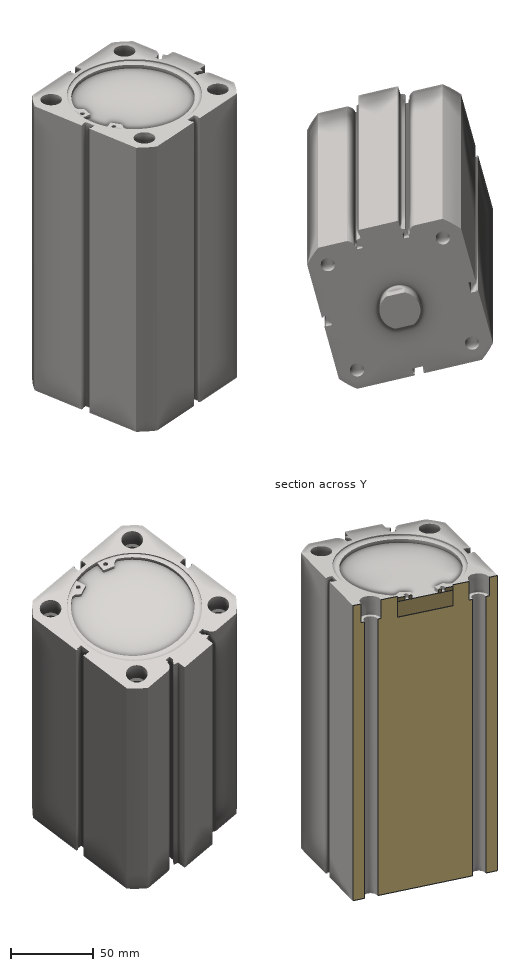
import cadquery as cq


housing_width = 96.5
rod_reach = 10.0
total_length = 212.0
housing_height = total_length - rod_reach
half_width = housing_width / 2
back_face = 48.3
corner_radius = 62.1
bolt_spacing = 72.0
bolt_hole_diameter = 8.7
bolt_counterbore_diameter = 13.1
bolt_counterbore_depth = 12.7

slot_mouth_width = 6.1
slot_lip_width = 5.0
slot_width = 6.8
slot_depth = 4.7
slot_lip = 1.0

rail_width = 25.0
total_depth = 102.0
rail_edge_chamfer = 0.5
rail_half = rail_width / 2
rail_top = total_depth - half_width
rail_height = rail_top - back_face
barb_half = 15.3
barb_slope = 0.8
barb_edge = 0.5
neck_half = 13.0
neck_top = 44.3
groove_floor = 41.5
groove_outer_half = 16.3
groove_rim = 43.5
shoulder_end_half = 17.0
shoulder_start_half = 21.0
shoulder_radius = 5.5

recess_diameter = 82.0
recess_radius = recess_diameter / 2
ring_inset = 1.0
ring_thickness = 2.5
ring_inner_radius = 37.5
ring_inner_offset = 1.5
ear_gap_half = 9.5
ear_inner_corner = (7.8, -33.3)
ear_peak = (14.6, -30.7)
ear_shoulder = (17.8, -33.3)
ear_outer_x = 21.5
ear_hole_x = 12.0
ear_hole_y = -35.6
ear_hole_diameter = 3.0
cap_thickness = 10.5
ring_top = housing_height - ring_inset
cap_top = ring_top - ring_thickness
cap_bottom = cap_top - cap_thickness

rod_diameter = 25.0
flat_distance = 22.0
flat_top = -2.8
rod_end_diameter = 24.8
rod_end_top = -2.0
step_height = 0.6
rod_radius = rod_diameter / 2
flat_depth = rod_radius - flat_distance / 2


def cylinder(radius, bottom, top):
    """Solid cylinder on the Z axis between two heights."""
    return cq.Workplane("XY").workplane(offset=bottom).circle(radius).extrude(top - bottom)


def make_slot_cutter(angle):
    """T-shaped slot with a tapered mouth along the full height, turned from the +X side by angle."""
    lip_inside = half_width - slot_lip
    floor = half_width - slot_depth
    upper_half = [
        (half_width, slot_mouth_width / 2),
        (lip_inside, slot_lip_width / 2),
        (lip_inside, slot_width / 2),
        (floor, slot_width / 2),
    ]
    lower_half = [(x, -y) for x, y in reversed(upper_half)]
    cutter = cq.Workplane("XY").polyline(upper_half + lower_half).close().extrude(housing_height)
    return cutter.rotate((0, 0, 0), (0, 0, 1), angle)


def make_rail():
    """Rail standing above the +Y side, left between the two barbed grooves."""
    return (
        cq.Workplane("XY")
        .center(0, back_face + rail_height / 2)
        .rect(rail_width, rail_height)
        .extrude(housing_height)
        .faces(">Y")
        .edges("|Z")
        .chamfer(rail_edge_chamfer)
    )


def make_rail_groove():
    """Groove on the +X side of the rail, with the barb of the rail left standing."""
    return (
        cq.Workplane("XY")
        .moveTo(rail_half, back_face)
        .lineTo(barb_half, back_face - barb_slope)
        .lineTo(barb_half, back_face - barb_slope - barb_edge)
        .lineTo(neck_half, neck_top)
        .lineTo(neck_half, groove_floor)
        .lineTo(groove_outer_half, groove_floor)
        .lineTo(groove_outer_half, groove_rim)
        .lineTo(shoulder_end_half, groove_rim)
        .radiusArc((shoulder_start_half, back_face), shoulder_radius)
        .close()
        .extrude(housing_height)
    )


def make_housing():
    """Extruded profile with bolt holes, top recess and rod bore."""
    body = (
        cq.Workplane("XY")
        .center(0, (back_face - half_width) / 2)
        .rect(housing_width, back_face + half_width)
        .extrude(housing_height)
    )
    body = body.intersect(cylinder(corner_radius, 0, housing_height))
    body = body.union(make_rail())
    for angle in (0, 180, 270):
        body = body.cut(make_slot_cutter(angle))
    groove = make_rail_groove()
    body = body.cut(groove).cut(groove.mirror("YZ"))
    body = (
        body.faces(">Z")
        .workplane(origin=(0, 0, housing_height))
        .rect(bolt_spacing, bolt_spacing, forConstruction=True)
        .vertices()
        .cboreHole(bolt_hole_diameter, bolt_counterbore_diameter, bolt_counterbore_depth)
    )
    body = body.cut(cylinder(recess_radius, cap_bottom, housing_height))
    return body.cut(cylinder(rod_radius, 0, cap_bottom))


def make_cap():
    """Plain disc closing the recess below the retaining ring."""
    return cylinder(recess_radius, cap_bottom, cap_top)


def make_ear():
    """Block of the ring's ear on the +X side, reaching past the ring's rim."""
    outline = [
        (ear_gap_half, -recess_radius),
        ear_inner_corner,
        ear_peak,
        ear_shoulder,
        (ear_outer_x, ear_shoulder[1]),
        (ear_outer_x, -recess_radius),
    ]
    return (
        cq.Workplane("XY")
        .workplane(offset=cap_top)
        .polyline(outline)
        .close()
        .extrude(ring_thickness)
    )


def make_retaining_ring():
    """Eccentric ring, open between two ears that each have a plier hole."""
    rim = cylinder(recess_radius, cap_top, ring_top)
    opening = cylinder(ring_inner_radius, cap_top, ring_top).translate((0, -ring_inner_offset, 0))
    gap = (
        cq.Workplane("XY")
        .workplane(offset=cap_top)
        .center(0, -recess_radius)
        .rect(2 * ear_hole_x, recess_radius)
        .extrude(ring_thickness)
    )
    ear = make_ear()
    ears = ear.union(ear.mirror("YZ")).intersect(rim)
    ring = rim.cut(opening).cut(gap).union(ears)
    holes = (
        cq.Workplane("XY")
        .workplane(offset=cap_top)
        .pushPoints([(-ear_hole_x, ear_hole_y), (ear_hole_x, ear_hole_y)])
        .circle(ear_hole_diameter / 2)
        .extrude(ring_thickness)
    )
    return ring.cut(holes)


def make_rod():
    """Stepped rod up to the cap, with two wrench flats that run out at 45 degrees."""
    end_radius = rod_end_diameter / 2
    step_top = rod_end_top + step_height
    rod = (
        cq.Workplane("XZ")
        .moveTo(0, -rod_reach)
        .lineTo(end_radius, -rod_reach)
        .lineTo(end_radius, rod_end_top)
        .lineTo(rod_radius, step_top)
        .lineTo(rod_radius, cap_bottom)
        .lineTo(0, cap_bottom)
        .close()
        .revolve(360, (0, 0, 0), (0, 1, 0))
    )
    cutter = (
        cq.Workplane("YZ")
        .moveTo(rod_radius - flat_depth, -rod_reach)
        .lineTo(rod_radius - flat_depth, flat_top)
        .lineTo(rod_radius, flat_top + flat_depth)
        .lineTo(rod_radius, -rod_reach)
        .close()
        .extrude(rod_radius, both=True)
    )
    return rod.cut(cutter).cut(cutter.mirror("XZ"))


housing = make_housing()
cap = make_cap()
retaining_ring = make_retaining_ring()
rod = make_rod()

result = cq.Compound.makeCompound([housing.val(), cap.val(), retaining_ring.val(), rod.val()])